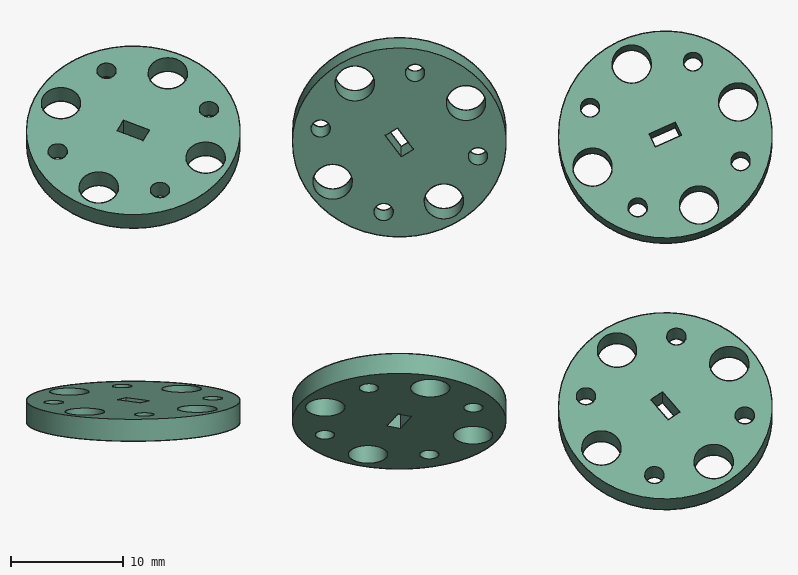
import cadquery as cq

disc_diameter = 19.05
thickness = 2.0

pitch_diameter = 14.29
holes_per_set = 4
large_hole_diameter = 3.5
small_hole_diameter = 1.71
small_hole_start_angle = 180 / holes_per_set

window_length = 2.57
window_width = 1.31


def drill_hole_set(plate, diameter, start_angle):
    """Drill equally spaced through holes on the pitch circle."""
    return (
        plate.faces(">Z")
        .workplane(origin=(0, 0, 0))
        .polarArray(pitch_diameter / 2, start_angle, 360, holes_per_set)
        .hole(diameter)
    )


flange = cq.Workplane("XY").circle(disc_diameter / 2).extrude(thickness)
flange = drill_hole_set(flange, large_hole_diameter, 0)
flange = drill_hole_set(flange, small_hole_diameter, small_hole_start_angle)

window = cq.Workplane("XY").rect(window_length, window_width).extrude(thickness)
result = flange.cut(window)